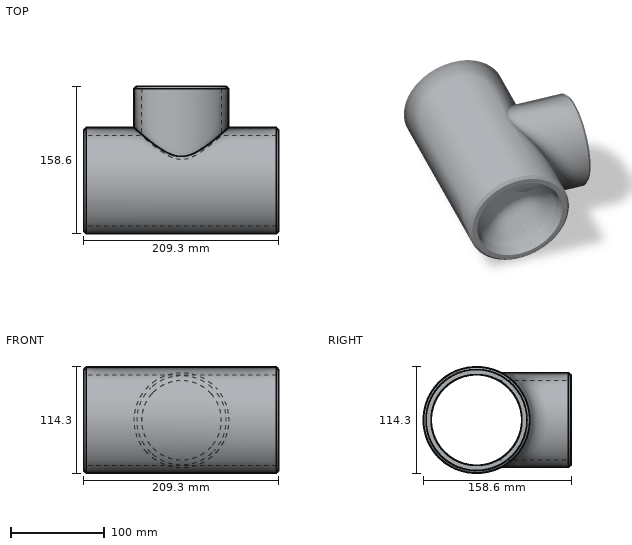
import cadquery as cq

run_length = 209.3
run_diameter = 114.3
run_bore = 97.1
branch_diameter = 101.7
branch_wall = 8.2
branch_bore = branch_diameter - 2 * branch_wall
overall_depth = 158.6
branch_reach = overall_depth - run_diameter / 2
end_chamfer = 3.0


def run_cylinder(diameter):
    """Cylinder along X, centred on the origin."""
    return cq.Workplane("YZ").circle(diameter / 2).extrude(run_length / 2, both=True)


def branch_cylinder(diameter):
    """Cylinder from the run axis out to the branch end face."""
    return cq.Workplane("XZ").circle(diameter / 2).extrude(-branch_reach)


run_body = run_cylinder(run_diameter).faces("<X or >X").chamfer(end_chamfer)
branch_body = branch_cylinder(branch_diameter).faces(">Y").chamfer(end_chamfer)
body = run_body.union(branch_body)

result = body.cut(run_cylinder(run_bore)).cut(branch_cylinder(branch_bore))